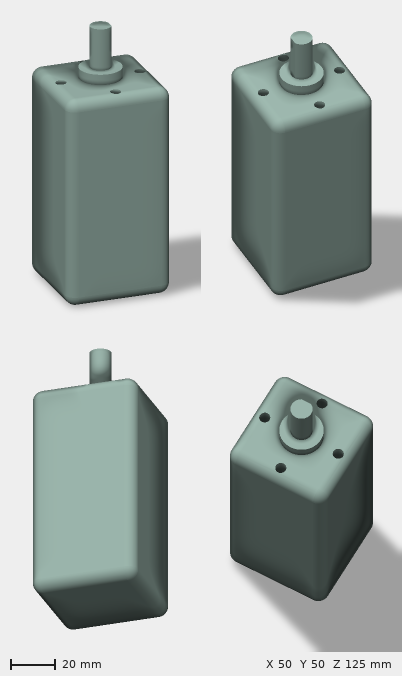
import cadquery as cq

total_height = 125.0
body_width = 50.0
body_height = 100.0
edge_radius = 5.0

collar_diameter = 20.0
collar_height = 5.0

shaft_diameter = 10.0
flat_offset = 4.4

hole_diameter = 5.0
hole_depth = 10.0
hole_circle_radius = 19.0
hole_count = 4

shaft_length = total_height - body_height


def make_body():
    """Square housing with every edge rounded, standing on Z = 0."""
    block = cq.Workplane("XY").box(body_width, body_width, body_height, centered=(True, True, False))
    return block.edges().fillet(edge_radius)


def make_collar():
    """Round locating collar on top of the housing, bored for the shaft."""
    collar_plane = cq.Workplane("XY").workplane(offset=body_height)
    return collar_plane.circle(collar_diameter / 2).circle(shaft_diameter / 2).extrude(collar_height)


def make_shaft():
    """Shaft with a flat facing +Y along its whole length, leaving a narrow gap in the round bore."""
    shaft_plane = cq.Workplane("XY").workplane(offset=body_height)
    shaft = shaft_plane.circle(shaft_diameter / 2).extrude(shaft_length)
    flat_cutter = shaft_plane.center(0, flat_offset + shaft_diameter / 2)
    flat_cutter = flat_cutter.rect(2 * shaft_diameter, shaft_diameter).extrude(shaft_length)
    return shaft.cut(flat_cutter)


def make_mounting_holes():
    """Blind holes, one towards each side of the housing, sunk from its top face."""
    hole_plane = cq.Workplane("XY").workplane(offset=body_height)
    centres = hole_plane.polarArray(hole_circle_radius, 0, 360, hole_count)
    return centres.circle(hole_diameter / 2).extrude(-hole_depth)


housing = make_body().cut(make_mounting_holes())
result = housing.union(make_collar()).union(make_shaft())